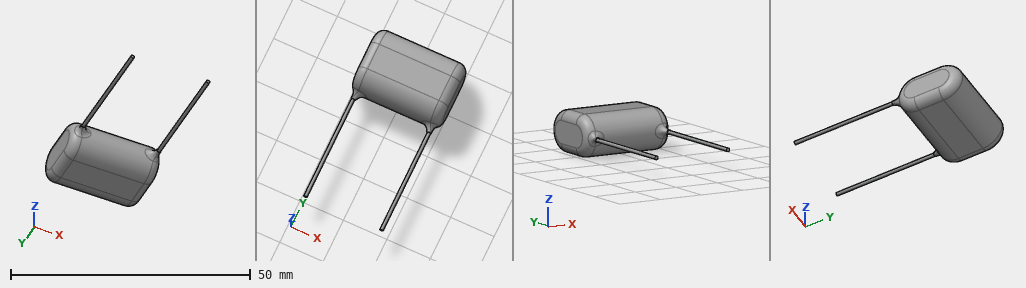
import cadquery as cq

total_length = 40.0
body_width = 20.6
body_length = 15.0
body_thickness = 9.1
end_fillet = 2.1

lead_spacing = 17.5
lead_radius = 0.4
collar_radius = 0.5
collar_height = 1.5
flare_radius = 2.0

body_front = -body_length / 2
collar_end = body_front - collar_height
lead_length = total_length - body_length - collar_height
lead_positions = (-lead_spacing / 2, lead_spacing / 2)

rough_collar_height = collar_height + flare_radius


def rod(x, front, back, radius):
    """Round rod along Y between the front and back positions."""
    return (
        cq.Workplane("XZ", origin=(x, back, 0))
        .circle(radius)
        .extrude(back - front)
    )


def make_coated_body():
    """Stadium-section body with rounded ends."""
    return (
        cq.Workplane("YZ")
        .slot2D(body_length, body_thickness)
        .extrude(body_width / 2, both=True)
        .faces("<X or >X")
        .edges()
        .fillet(end_fillet)
    )


def add_flared_collar(housing, x):
    """Join a collar, blend it into the body and trim it to its height."""
    rough_end = body_front - rough_collar_height
    housing = housing.union(rod(x, rough_end, 0, collar_radius))

    root_zone = cq.selectors.BoxSelector(
        (x - 2 * collar_radius, body_front - collar_radius, -2 * collar_radius),
        (x + 2 * collar_radius, body_front + 2 * collar_radius, 2 * collar_radius),
    )
    housing = housing.edges(root_zone).fillet(flare_radius)

    surplus = rod(x, rough_end, collar_end, collar_radius + flare_radius)
    return housing.cut(surplus)


def make_housing():
    housing = make_coated_body()
    for x in lead_positions:
        housing = add_flared_collar(housing, x)
    return housing


def make_lead(x):
    """Straight wire butting against the end of its collar."""
    return rod(x, collar_end - lead_length, collar_end, lead_radius)


housing = make_housing()
leads = [make_lead(x) for x in lead_positions]
result = cq.Compound.makeCompound([housing.val(), *[lead.val() for lead in leads]])